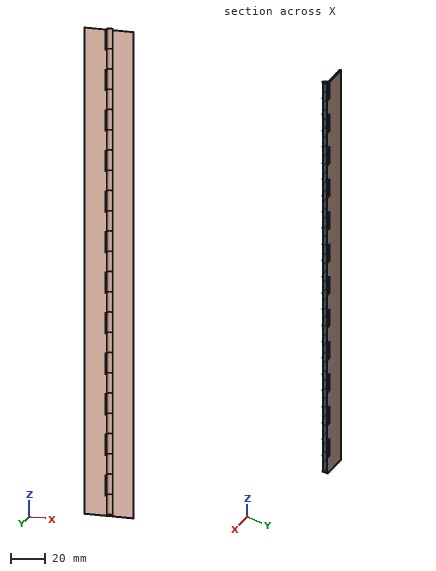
import cadquery as cq

hinge_length = 300.0
hinge_width = 30.0
barrel_diameter = 3.5

leaf_thickness = 0.8
knuckle_clearance = 0.5
knuckle_count = 24

barrel_radius = barrel_diameter / 2
pin_radius = barrel_radius - leaf_thickness
leaf_reach = hinge_width / 2
leaf_inner_edge = barrel_radius + knuckle_clearance
leaf_front = barrel_radius - leaf_thickness
knuckle_length = hinge_length / knuckle_count
hinge_bottom = -hinge_length / 2


def make_plate(inner_edge, side, bottom, height):
    """Flat strip flush with the back of the barrel, from inner_edge to the outer edge of the leaf."""
    return cq.Workplane("XY").box(
        leaf_reach - inner_edge, leaf_thickness, height, centered=False
    ).translate((inner_edge if side > 0 else -leaf_reach, leaf_front, bottom))


def make_leaf(side, first_knuckle):
    """Leaf on the given side of the axis (+1 or -1) that carries every second knuckle."""
    leaf = make_plate(leaf_inner_edge, side, hinge_bottom, hinge_length)
    for index in range(first_knuckle, knuckle_count, 2):
        bottom = hinge_bottom + index * knuckle_length
        barrel = (
            cq.Workplane("XY")
            .workplane(offset=bottom)
            .circle(barrel_radius)
            .extrude(knuckle_length)
        )
        web = make_plate(0, side, bottom, knuckle_length)
        leaf = leaf.union(barrel.union(web))
    return leaf.cut(make_pin())


def make_pin():
    """Round pin that runs the full length of the hinge."""
    return cq.Workplane("XY").workplane(offset=hinge_bottom).circle(pin_radius).extrude(hinge_length)


left_leaf = make_leaf(side=-1, first_knuckle=0)
right_leaf = make_leaf(side=1, first_knuckle=1)
pin = make_pin()

result = cq.Compound.makeCompound([left_leaf.val(), right_leaf.val(), pin.val()])